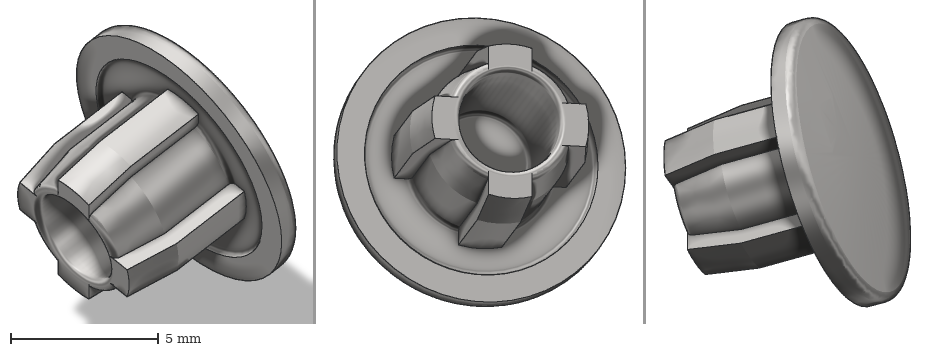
import cadquery as cq
import math


CAP_RADIUS = 5.0
CAP_HEIGHT = 1.0
DOME_EDGE_HEIGHT = 0.82
CAP_EDGE_ROUND = 0.3
RECESS_RADIUS = 4.04
RECESS_DEPTH = 0.2
RECESS_ROUND = 0.19

STEM_LENGTH = 5.0
STEM_RADIUS = 2.5
TAPER_LENGTH = 2.0
TAPER_ANGLE = 10.0
BORE_RADIUS = 1.75
BORE_ROUND = 0.2
TIP_ROUND = 0.23

FIN_COUNT = 4
FIN_RADIUS = 3.07
FIN_WIDTH = 1.5

TAPER_INSET = TAPER_LENGTH * math.tan(math.radians(TAPER_ANGLE))
TAPER_START = TAPER_LENGTH - STEM_LENGTH
FIN_INNER_RADIUS = BORE_RADIUS + BORE_ROUND
OVERLAP = 0.1


def ring_edge(radius, y):
    """Selector box enclosing the full circle of this radius at height y."""
    margin = 0.01
    reach = radius + margin
    return cq.selectors.BoxSelector(
        (-reach, y - margin, -reach), (reach, y + margin, reach), boundingbox=True
    )


def make_cap():
    rise = CAP_HEIGHT - DOME_EDGE_HEIGHT
    sphere_radius = (CAP_RADIUS**2 + rise**2) / (2 * rise)
    mid_radius = CAP_RADIUS / 2
    mid_height = CAP_HEIGHT - sphere_radius + math.sqrt(sphere_radius**2 - mid_radius**2)
    cap = (
        cq.Workplane("XY")
        .lineTo(CAP_RADIUS, 0)
        .lineTo(CAP_RADIUS, DOME_EDGE_HEIGHT)
        .threePointArc((mid_radius, mid_height), (0, CAP_HEIGHT))
        .close()
        .revolve(360, (0, 0), (0, 1))
    )
    cap = cap.faces(">Y").edges("%CIRCLE").fillet(CAP_EDGE_ROUND)
    recess = cq.Workplane("XZ").circle(RECESS_RADIUS).extrude(-RECESS_DEPTH)
    return cap.cut(recess.faces(">Y").edges().fillet(RECESS_ROUND))


def tapered_post(radius):
    """Solid post from inside the cap to the stem tip, tapered at its free end."""
    return (
        cq.Workplane("XY")
        .moveTo(0, RECESS_DEPTH + OVERLAP)
        .lineTo(radius, RECESS_DEPTH + OVERLAP)
        .lineTo(radius, TAPER_START)
        .lineTo(radius - TAPER_INSET, -STEM_LENGTH)
        .lineTo(0, -STEM_LENGTH)
        .close()
        .revolve(360, (0, 0), (0, 1))
    )


def make_fins():
    fin_length = STEM_LENGTH + RECESS_DEPTH + OVERLAP
    fin_center_y = (RECESS_DEPTH + OVERLAP - STEM_LENGTH) / 2
    blades = cq.Workplane("XY")
    for i in range(FIN_COUNT):
        blade = (
            cq.Workplane("XY")
            .box(FIN_RADIUS, fin_length, FIN_WIDTH)
            .translate((FIN_RADIUS / 2, fin_center_y, 0))
            .rotate((0, 0, 0), (0, 1, 0), i * 360 / FIN_COUNT)
        )
        blades = blades.add(blade)
    core = (
        cq.Workplane("XZ", origin=(0, RECESS_DEPTH + OVERLAP, 0))
        .circle(FIN_INNER_RADIUS)
        .extrude(fin_length)
    )
    return blades.combine().intersect(tapered_post(FIN_RADIUS)).cut(core)


def make_bore():
    """Blind bore ending level with the recess floor, with a rounded bottom."""
    depth = STEM_LENGTH + RECESS_DEPTH
    bore = cq.Workplane("XZ", origin=(0, RECESS_DEPTH, 0)).circle(BORE_RADIUS).extrude(depth)
    return bore.faces(">Y").edges().fillet(BORE_ROUND)


body = make_cap().union(tapered_post(STEM_RADIUS))
body = body.edges(ring_edge(STEM_RADIUS, RECESS_DEPTH)).fillet(RECESS_ROUND)
body = body.faces("<Y").edges().fillet(TIP_ROUND)
body = body.cut(make_bore())
body = body.faces("<Y").edges(cq.selectors.RadiusNthSelector(0)).fillet(BORE_ROUND)
result = body.union(make_fins())